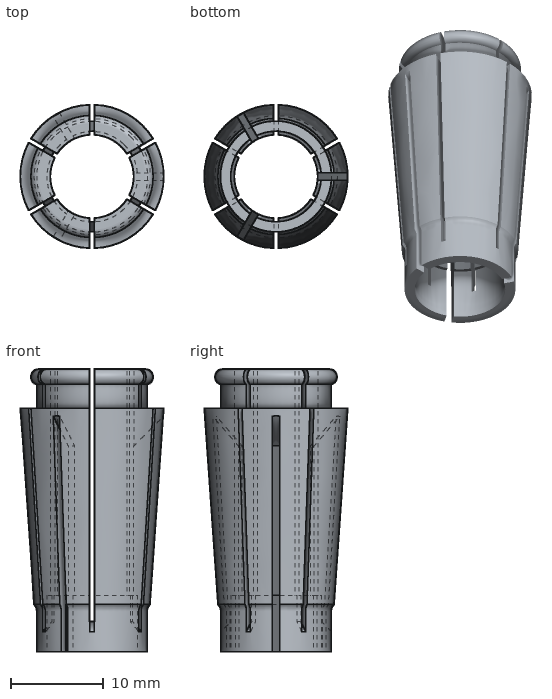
import cadquery as cq
import math

total_height = 30.5
shoulder_z = 26.3
cone_bottom_z = 5.12
counterbore_top_z = 6.1

shoulder_radius = 7.75
cone_half_angle = 4.0
neck_radius = 5.98
neck_fillet_radius = 0.9
bead_outer_radius = 6.6
bead_tube_radius = 0.85
bore_radius = 4.48
counterbore_radius = 4.88

upper_slot_width = 0.5
upper_slot_count = 6
upper_slot_first_angle = 30.0
upper_slot_end_z = 2.2
lower_slot_width = 0.8
lower_slot_count = 3
lower_slot_first_angle = 0.0
lower_slot_end_z = 25.45

cone_slope = math.tan(math.radians(cone_half_angle))
cone_bottom_radius = shoulder_radius - (shoulder_z - cone_bottom_z) * cone_slope
fillet_sweep = math.acos(1 - (cone_bottom_radius - neck_radius) / neck_fillet_radius)
neck_top_z = cone_bottom_z - neck_fillet_radius * math.sin(fillet_sweep)
fillet_middle = (
    neck_radius + neck_fillet_radius * (1 - math.cos(fillet_sweep / 2)),
    neck_top_z + neck_fillet_radius * math.sin(fillet_sweep / 2),
)
bead_center_radius = bead_outer_radius - bead_tube_radius
bead_center_z = total_height - bead_tube_radius
bead_neck_offset = neck_radius - bead_center_radius
bead_bottom_z = bead_center_z - math.sqrt(bead_tube_radius**2 - bead_neck_offset**2)
slot_overrun = 1.52
cut_reach = shoulder_radius + slot_overrun


def collet_body():
    """Turned body: neck, taper, shoulder, upper neck and round bead, with a stepped bore."""
    profile = (
        cq.Workplane("XZ")
        .moveTo(bore_radius, counterbore_top_z)
        .lineTo(counterbore_radius, counterbore_top_z)
        .lineTo(counterbore_radius, 0)
        .lineTo(neck_radius, 0)
        .lineTo(neck_radius, neck_top_z)
        .threePointArc(fillet_middle, (cone_bottom_radius, cone_bottom_z))
        .lineTo(shoulder_radius, shoulder_z)
        .lineTo(neck_radius, shoulder_z)
        .lineTo(neck_radius, bead_bottom_z)
        .threePointArc((bead_outer_radius, bead_center_z), (bead_center_radius, total_height))
        .lineTo(bore_radius, total_height)
        .close()
    )
    return profile.revolve(360, (0, 0, 0), (0, 1, 0))


def radial_slot(side_outline, width, angle):
    """Slot of the given side outline (radius, height), turned about the axis."""
    slot = cq.Workplane("XZ").polyline(side_outline).close().extrude(width / 2, both=True)
    return slot.rotate((0, 0, 0), (0, 0, 1), angle)


def cut_slots(body, side_outline, width, count, first_angle):
    """Cut equally spaced slots into the body."""
    for index in range(count):
        angle = first_angle + index * 360 / count
        body = body.cut(radial_slot(side_outline, width, angle))
    return body


upper_slot_axis_z = upper_slot_end_z + neck_radius
upper_slot_outline = [
    (0, upper_slot_axis_z),
    (cut_reach, upper_slot_axis_z - cut_reach),
    (cut_reach, total_height),
    (0, total_height),
]

lower_slot_roof_radius = shoulder_radius - (shoulder_z - lower_slot_end_z) * cone_slope
lower_slot_axis_z = lower_slot_end_z - lower_slot_roof_radius
lower_slot_outline = [
    (0, lower_slot_axis_z),
    (cut_reach, lower_slot_axis_z + cut_reach),
    (cut_reach, 0),
    (0, 0),
]

body = collet_body()
body = cut_slots(
    body, upper_slot_outline, upper_slot_width, upper_slot_count, upper_slot_first_angle
)
result = cut_slots(
    body, lower_slot_outline, lower_slot_width, lower_slot_count, lower_slot_first_angle
)